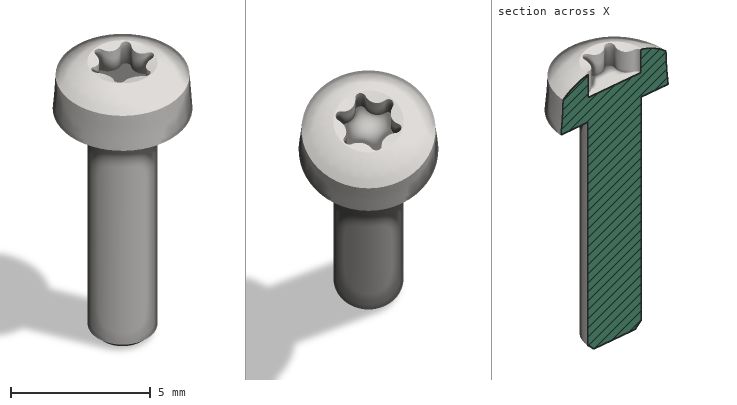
import cadquery as cq
import math

total_length = 12.1
shank_diameter = 2.5
shank_radius = shank_diameter / 2
tip_radius = 0.97
tip_chamfer_height = 0.29

head_height = 2.09
head_base_diameter = 5.0
head_base_radius = head_base_diameter / 2
head_rim_radius = 2.4
crown_height = 0.59
crown_mid_radius = 1.86
crown_mid_drop = 0.23

lobe_count = 6
lobe_tip_diameter = 2.41
lobe_tip_reach = lobe_tip_diameter / 2
lobe_valley_reach = 0.85
lobe_tip_round = 0.19
recess_depth = 1.0
lead_in_radius = 1.26
lead_in_slope = 15.0

head_base_z = total_length - head_height
rim_z = total_length - crown_height


def make_body():
    """Revolve the shank and head profile about Z."""
    return (
        cq.Workplane("XZ")
        .lineTo(tip_radius, 0)
        .lineTo(shank_radius, tip_chamfer_height)
        .lineTo(shank_radius, head_base_z)
        .lineTo(head_base_radius, head_base_z)
        .lineTo(head_rim_radius, rim_z)
        .threePointArc(
            (crown_mid_radius, total_length - crown_mid_drop),
            (lead_in_radius, total_length),
        )
        .lineTo(0, total_length)
        .close()
        .revolve(360, (0, 0, 0), (0, 1, 0))
    )


def polar(radius, angle):
    return (radius * math.cos(angle), radius * math.sin(angle))


def make_drive_recess():
    """Six-lobed prism whose tip and valley arcs meet tangentially."""
    half_pitch = math.pi / lobe_count
    tip_center_reach = lobe_tip_reach - lobe_tip_round
    tip_center_along_valley = tip_center_reach * math.cos(half_pitch)
    valley_round = (
        lobe_valley_reach**2
        + tip_center_reach**2
        - 2 * lobe_valley_reach * tip_center_along_valley
        - lobe_tip_round**2
    ) / (2 * (lobe_tip_round - lobe_valley_reach + tip_center_along_valley))
    valley_center_reach = lobe_valley_reach + valley_round

    tip_share = lobe_tip_round / (lobe_tip_round + valley_round)
    valley_x, valley_y = polar(valley_center_reach, half_pitch)
    tangent_x = tip_center_reach + tip_share * (valley_x - tip_center_reach)
    tangent_y = tip_share * valley_y
    tangent_reach = math.hypot(tangent_x, tangent_y)
    tangent_angle = math.atan2(tangent_y, tangent_x)

    first_tip_angle = math.pi / 2
    outline = cq.Workplane("XY", origin=(0, 0, total_length - recess_depth))
    outline = outline.moveTo(*polar(tangent_reach, first_tip_angle - tangent_angle))
    for lobe in range(lobe_count):
        tip_angle = first_tip_angle + 2 * half_pitch * lobe
        outline = outline.threePointArc(
            polar(lobe_tip_reach, tip_angle),
            polar(tangent_reach, tip_angle + tangent_angle),
        )
        outline = outline.threePointArc(
            polar(lobe_valley_reach, tip_angle + half_pitch),
            polar(tangent_reach, tip_angle + 2 * half_pitch - tangent_angle),
        )
    return outline.close().extrude(recess_depth)


def make_lead_in():
    """Shallow cone that opens at the top of the recess."""
    cone_depth = lead_in_radius * math.tan(math.radians(lead_in_slope))
    return (
        cq.Workplane("XZ")
        .moveTo(0, total_length - cone_depth)
        .lineTo(lead_in_radius, total_length)
        .lineTo(0, total_length)
        .close()
        .revolve(360, (0, 0, 0), (0, 1, 0))
    )


result = make_body().cut(make_drive_recess()).cut(make_lead_in())